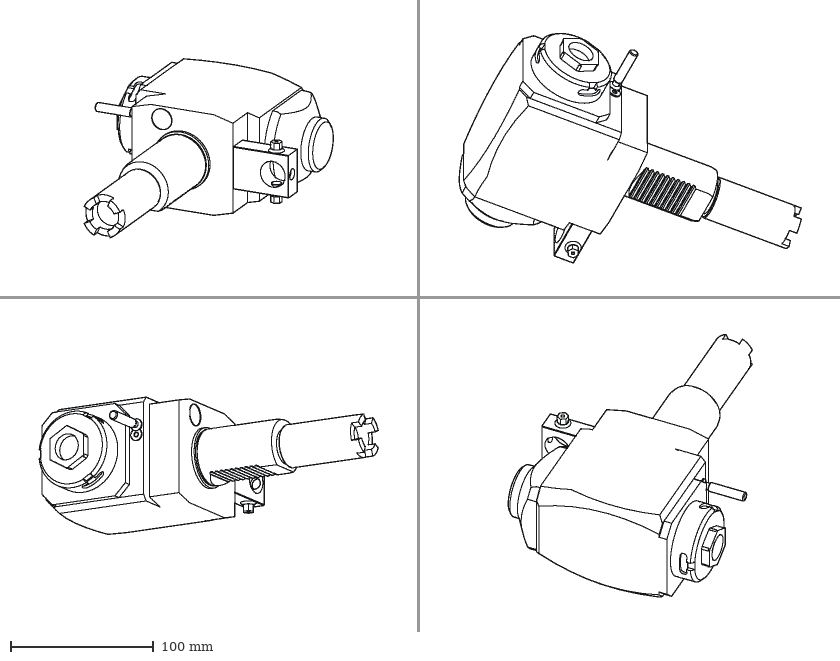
import cadquery as cq
import math


BODY_BACK = 102.6
BODY_FRONT = 23.8
BODY_LEFT = -47.3
BODY_RIGHT = 48.3
BODY_HALF_HEIGHT = 37.5
LEFT_CHAMFER_X = 3.5
LEFT_CHAMFER_Z = 4.2
TAPER_START = 24.3
TAPER_SLOPE = math.tan(math.radians(15))
BACK_CONE_X = -9.3
BACK_CONE_Z = 100.3
BACK_CONE_RADIUS = 133.5
BACK_CORNER_X = 3.3
BACK_CORNER_Y = 3.0
BLOCK_HALF_WIDTH = 39.2
PLUG_X = -16.0
PLUG_Z = 27.8
PLUG_RADIUS = 7.7
PLUG_DEPTH = 0.7

SPINDLE_Y = 68.8
PLATE_LEFT = -53.2
PLATE_FRONT = 35.2
PLATE_HALF_HEIGHT = BODY_HALF_HEIGHT - LEFT_CHAMFER_Z
PLATE_CHAMFER = 8.5
NUT_LEFT = -70.7
NUT_RADIUS = 27.5
NUT_CHAMFER = 2.3
NUT_SLOT_ANGLES = (30, 150, 270)
NUT_SLOT_X = -62.7
NUT_SLOT_WIDTH = 5.4
NUT_SLOT_LENGTH = 18.7
NUT_SLOT_DEPTH = 1.9
NUT_NOTCH_WIDTH = 6.8
NUT_NOTCH_DEPTH = 2.8
HEX_LEFT = -77.0
HEX_FLATS = 26.8
HEX_TURNED_START = -75.8
HEX_TURNED_RADIUS = 15.0
HEX_BORE_RADIUS = 9.3
HEX_BORE_DEPTH = 6.5

COVER_RADIUS = 37.3
COVER_CONE_START = 55.3
COVER_CONE_END = 68.0
COVER_RIGHT = 76.3
COVER_CAP_RADIUS = 19.1
COVER_CAP_CHAMFER = 2.3
COVER_FLAT_HEIGHT = 29.2
COVER_FLAT_END = 51.5
COVER_BACK = 99.1

COLLAR_RADIUS = 21.5
COLLAR_END = -2.0
UNDERCUT_RADIUS = 19.5
UNDERCUT_END = -3.5
SHANK_RADIUS = 40.4 / 2
SHANK_CHAMFER_START = -59.7
SHANK_END = -63.5
SHANK_END_RADIUS = 19.4
NECK_RADIUS = 12.4
NECK_END = -66.7
TAIL_RADIUS = 30.5 / 2
TAIL_CHAMFER = 0.7
TIP_END = -130.6
SLOT_FLOOR = -125.0
TIP_BORE_RADIUS = 10.3
TIP_BORE_DEPTH = 14.0
TIP_SLOT_ANGLE = 49
RACK_FLAT_Z = -15.6
RACK_FLAT_START = -10.5
RACK_GAPS = 10
RACK_FIRST = -11.7
RACK_LAST = -47.8
RACK_PITCH = (RACK_FIRST - RACK_LAST) / (RACK_GAPS - 1)
RACK_DEPTH = 1.28
RACK_ROOT_WIDTH = 1.2

BRACKET_RIGHT = 81.9
BRACKET_FRONT = 0.7
BRACKET_BACK = 16.0
BRACKET_HALF_HEIGHT = 15.9
BRACKET_CHAMFER = 0.5
BRACKET_HOLE_X = 69.7
BRACKET_HOLE_RADIUS = 9.5
BRACKET_SIDE_HOLE_RADIUS = 4.0
SCREW_Y = 6.8
SCREW_BASE_RADIUS = 5.5
SCREW_BASE_HEIGHT = 1.6
SCREW_HEIGHT = 6.5
SCREW_FLATS = 7.0
SCREW_SOCKET_RADIUS = 1.2
SCREW_SOCKET_DEPTH = 1.9
SCREW_TIP_RADIUS = 3.5
SCREW_TIP_Z = 8.5

PIN_Y = 29.5
PIN_Z = 17.3
PIN_LEFT = -80.5
PIN_RADIUS = 3.3
PIN_CHAMFER = 0.7
PIN_NECK_START = -53.5
PIN_NECK_END = -49.7
PIN_NECK_RADIUS = 5.0 / 2
PIN_BASE_RADIUS = 8.6 / 2
PIN_BASE_THICKNESS = 1.0
SMALL_PLUG_Z = 10.3
SMALL_PLUG_BORE_RADIUS = 1.6

OVERLAP = 2.3


def turned_x(profile, y, z):
    """Solid turned about the X-parallel axis at (y, z); profile is (x, radius) pairs."""
    points = [(profile[0][0], 0)] + profile + [(profile[-1][0], 0)]
    solid = cq.Workplane("XY").polyline(points).close().revolve(360, (0, 0, 0), (1, 0, 0))
    return solid.translate((0, y, z))


def rod_x(x_start, x_end, radius, y, z):
    """Cylinder along +X from x_start to x_end."""
    return turned_x([(x_start, radius), (x_end, radius)], y, z)


def turned_y(profile):
    """Solid turned about the Y axis; profile is (radius, y) pairs."""
    points = [(0, profile[0][1])] + profile + [(0, profile[-1][1])]
    return cq.Workplane("XY").polyline(points).close().revolve(360, (0, 0, 0), (0, 1, 0))


def cylinder_y(x, z, radius, y_start, y_end):
    """Cylinder along +Y from y_start to y_end."""
    disc = cq.Workplane("XZ", origin=(x, y_start, z)).circle(radius)
    return disc.extrude(y_start - y_end)


def mirrored_prism(upper_points, y_start, y_end):
    """Prism along Y; its XZ outline is upper_points plus their mirror image below Z = 0."""
    lower_points = [(x, -z) for x, z in reversed(upper_points)]
    outline = cq.Workplane("XZ", origin=(0, y_start, 0)).polyline(upper_points + lower_points)
    return outline.close().extrude(y_start - y_end)


def taper_height(x):
    """Height of the slanted top face right of TAPER_START."""
    return BODY_HALF_HEIGHT - (x - TAPER_START) * TAPER_SLOPE


def body():
    housing = mirrored_prism(
        [
            (BODY_LEFT, BODY_HALF_HEIGHT - LEFT_CHAMFER_Z),
            (BODY_LEFT + LEFT_CHAMFER_X, BODY_HALF_HEIGHT),
            (TAPER_START, BODY_HALF_HEIGHT),
            (BODY_RIGHT, taper_height(BODY_RIGHT)),
        ],
        BODY_FRONT,
        BODY_BACK,
    )
    cone = turned_y([(BACK_CONE_RADIUS, BODY_BACK), (BACK_CONE_RADIUS + BODY_BACK, 0)])
    for side in (1, -1):
        housing = housing.intersect(cone.translate((BACK_CONE_X, 0, -side * BACK_CONE_Z)))
    corner = (
        cq.Workplane("XY", origin=(0, 0, -BODY_HALF_HEIGHT))
        .moveTo(BODY_RIGHT, BODY_BACK)
        .lineTo(BODY_RIGHT - BACK_CORNER_X, BODY_BACK)
        .lineTo(BODY_RIGHT, BODY_BACK - BACK_CORNER_Y)
        .close()
        .extrude(2 * BODY_HALF_HEIGHT)
    )
    block = mirrored_prism(
        [
            (-BLOCK_HALF_WIDTH, taper_height(BLOCK_HALF_WIDTH)),
            (-TAPER_START, BODY_HALF_HEIGHT),
            (TAPER_START, BODY_HALF_HEIGHT),
            (BLOCK_HALF_WIDTH, taper_height(BLOCK_HALF_WIDTH)),
        ],
        0,
        BODY_FRONT + OVERLAP,
    )
    plug_recess = cylinder_y(PLUG_X, PLUG_Z, PLUG_RADIUS, 0, PLUG_DEPTH)
    return housing.cut(corner).union(block).cut(plug_recess)


def face_plate():
    return (
        cq.Workplane("XY")
        .box(
            BODY_LEFT + OVERLAP - PLATE_LEFT,
            BODY_BACK - PLATE_FRONT,
            2 * PLATE_HALF_HEIGHT,
            centered=(False, False, True),
        )
        .edges("|X")
        .chamfer(PLATE_CHAMFER)
        .translate((PLATE_LEFT, PLATE_FRONT, 0))
    )


def clamping_nut():
    nut = turned_x(
        [
            (NUT_LEFT, NUT_RADIUS - NUT_CHAMFER),
            (NUT_LEFT + NUT_CHAMFER, NUT_RADIUS),
            (PLATE_LEFT + OVERLAP, NUT_RADIUS),
        ],
        SPINDLE_Y,
        0,
    )
    slot = cq.Workplane("XY").slot2D(NUT_SLOT_LENGTH, NUT_SLOT_WIDTH, 90)
    slot = slot.extrude(NUT_RADIUS + OVERLAP).translate((NUT_SLOT_X, 0, 0))
    slot_floor = rod_x(NUT_LEFT, PLATE_LEFT, NUT_RADIUS - NUT_SLOT_DEPTH, 0, 0)
    notch = (
        cq.Workplane("XY")
        .box(
            NUT_SLOT_X - NUT_SLOT_WIDTH / 2 - NUT_LEFT,
            NUT_NOTCH_WIDTH,
            NUT_NOTCH_DEPTH + OVERLAP,
            centered=(False, True, False),
        )
        .translate((NUT_LEFT, 0, NUT_RADIUS - NUT_NOTCH_DEPTH))
    )
    pocket = slot.cut(slot_floor).union(notch)
    for angle in NUT_SLOT_ANGLES:
        turned = pocket.rotate((0, 0, 0), (1, 0, 0), angle)
        nut = nut.cut(turned.translate((0, SPINDLE_Y, 0)))
    return nut


def hex_end():
    """Bored hexagon, sharp at its free end and with turned-down corners behind."""
    corner_radius = HEX_FLATS / 2 / math.cos(math.radians(30))
    inner_end = NUT_LEFT + OVERLAP
    hexagon = (
        cq.Workplane("YZ", origin=(HEX_LEFT, SPINDLE_Y, 0))
        .transformed(rotate=(0, 0, 90))
        .polygon(6, 2 * corner_radius)
        .extrude(inner_end - HEX_LEFT)
    )
    envelope = turned_x(
        [
            (HEX_LEFT, corner_radius + OVERLAP),
            (HEX_TURNED_START, corner_radius + OVERLAP),
            (HEX_TURNED_START, HEX_TURNED_RADIUS),
            (inner_end, HEX_TURNED_RADIUS),
        ],
        SPINDLE_Y,
        0,
    )
    bore = rod_x(HEX_LEFT, HEX_LEFT + HEX_BORE_DEPTH, HEX_BORE_RADIUS, SPINDLE_Y, 0)
    return hexagon.intersect(envelope).cut(bore)


def bearing_cover():
    cover = turned_x(
        [
            (BODY_RIGHT - OVERLAP, COVER_RADIUS),
            (COVER_CONE_START, COVER_RADIUS),
            (COVER_CONE_END, COVER_CAP_RADIUS),
            (COVER_RIGHT - COVER_CAP_CHAMFER, COVER_CAP_RADIUS),
            (COVER_RIGHT, COVER_CAP_RADIUS - COVER_CAP_CHAMFER),
        ],
        SPINDLE_Y,
        0,
    )
    right_height = COVER_FLAT_HEIGHT - (COVER_RIGHT - COVER_FLAT_END) * TAPER_SLOPE
    envelope = mirrored_prism(
        [
            (BODY_RIGHT - OVERLAP, COVER_FLAT_HEIGHT),
            (COVER_FLAT_END, COVER_FLAT_HEIGHT),
            (COVER_RIGHT, right_height),
        ],
        SPINDLE_Y - COVER_RADIUS,
        COVER_BACK,
    )
    return cover.intersect(envelope)


def rack_cut():
    """Flat on the underside of the shank with a row of teeth cut into it."""
    ramp = SHANK_RADIUS + OVERLAP + RACK_FLAT_Z
    bottom = RACK_FLAT_Z - ramp
    side = cq.Workplane("YZ", origin=(-SHANK_RADIUS, 0, 0))
    cutter = (
        side.polyline(
            [
                (RACK_FLAT_START, RACK_FLAT_Z),
                (RACK_FLAT_START + ramp, bottom),
                (SHANK_END, bottom),
                (SHANK_END, RACK_FLAT_Z),
            ]
        )
        .close()
        .extrude(2 * SHANK_RADIUS)
    )
    root = RACK_ROOT_WIDTH / 2
    mouth = root + RACK_DEPTH
    for index in range(RACK_GAPS):
        y = RACK_FIRST - index * RACK_PITCH
        gap = (
            side.polyline(
                [
                    (y - mouth, RACK_FLAT_Z),
                    (y - root, RACK_FLAT_Z + RACK_DEPTH),
                    (y + root, RACK_FLAT_Z + RACK_DEPTH),
                    (y + mouth, RACK_FLAT_Z),
                ]
            )
            .close()
            .extrude(2 * SHANK_RADIUS)
        )
        cutter = cutter.union(gap)
    return cutter


def coupling_cut():
    """Bore and four slots with radial sides at the free end of the shank."""
    cutter = cylinder_y(0, 0, TIP_BORE_RADIUS, TIP_END, TIP_END + TIP_BORE_DEPTH)
    reach = 2 * TAIL_RADIUS
    half_width = reach * math.tan(math.radians(TIP_SLOT_ANGLE / 2))
    wedge = (
        cq.Workplane("XZ", origin=(0, TIP_END, 0))
        .polyline([(0, 0), (reach, half_width), (reach, -half_width)])
        .close()
        .extrude(TIP_END - SLOT_FLOOR)
    )
    for quarter in range(4):
        cutter = cutter.union(wedge.rotate((0, 0, 0), (0, 1, 0), 90 * quarter))
    return cutter


def shank():
    bar = turned_y(
        [
            (COLLAR_RADIUS, OVERLAP),
            (COLLAR_RADIUS, COLLAR_END),
            (UNDERCUT_RADIUS, COLLAR_END),
            (UNDERCUT_RADIUS, UNDERCUT_END),
            (SHANK_RADIUS, UNDERCUT_END),
            (SHANK_RADIUS, SHANK_CHAMFER_START),
            (SHANK_END_RADIUS, SHANK_END),
            (NECK_RADIUS, SHANK_END),
            (NECK_RADIUS, NECK_END),
            (TAIL_RADIUS - TAIL_CHAMFER, NECK_END),
            (TAIL_RADIUS, NECK_END - TAIL_CHAMFER),
            (TAIL_RADIUS, TIP_END),
        ]
    )
    return bar.cut(rack_cut()).cut(coupling_cut())


def bracket_screw():
    """Upper bracket screw: tip inside the bracket hole, flared base and hexagonal head on top."""
    head_corners = SCREW_FLATS / math.cos(math.radians(30))
    head_top = BRACKET_HALF_HEIGHT + SCREW_HEIGHT
    tip = cq.Workplane("XY", origin=(0, 0, SCREW_TIP_Z)).circle(SCREW_TIP_RADIUS)
    tip = tip.extrude(BRACKET_HALF_HEIGHT - SCREW_TIP_Z)
    base = (
        cq.Workplane("XY", origin=(0, 0, BRACKET_HALF_HEIGHT))
        .circle(SCREW_BASE_RADIUS)
        .workplane(offset=SCREW_BASE_HEIGHT)
        .circle(SCREW_BASE_RADIUS - SCREW_BASE_HEIGHT)
        .loft()
    )
    head = (
        cq.Workplane("XY", origin=(0, 0, BRACKET_HALF_HEIGHT))
        .transformed(rotate=(0, 0, 90))
        .polygon(6, head_corners)
        .extrude(SCREW_HEIGHT)
    )
    socket = cq.Workplane("XY", origin=(0, 0, head_top)).circle(SCREW_SOCKET_RADIUS)
    screw = tip.union(base).union(head).cut(socket.extrude(-SCREW_SOCKET_DEPTH))
    return screw.translate((BRACKET_HOLE_X, SCREW_Y, 0))


def bracket():
    left = BLOCK_HALF_WIDTH - OVERLAP
    bar = (
        cq.Workplane("XY")
        .box(
            BRACKET_RIGHT - left,
            BRACKET_BACK - BRACKET_FRONT,
            2 * BRACKET_HALF_HEIGHT,
            centered=(False, False, True),
        )
        .edges("|X or (|Z and >X)")
        .chamfer(BRACKET_CHAMFER)
        .translate((left, BRACKET_FRONT, 0))
    )
    hole = cylinder_y(BRACKET_HOLE_X, 0, BRACKET_HOLE_RADIUS, BRACKET_FRONT, BRACKET_BACK)
    side_hole = rod_x(BRACKET_HOLE_X, BRACKET_RIGHT, BRACKET_SIDE_HOLE_RADIUS, SCREW_Y, 0)
    screw = bracket_screw()
    return bar.cut(hole).cut(side_hole).union(screw).union(screw.mirror("XY"))


def coolant_pin():
    return turned_x(
        [
            (PIN_LEFT, PIN_RADIUS - PIN_CHAMFER),
            (PIN_LEFT + PIN_CHAMFER, PIN_RADIUS),
            (PIN_NECK_START, PIN_RADIUS),
            (PIN_NECK_START, PIN_NECK_RADIUS),
            (PIN_NECK_END, PIN_NECK_RADIUS),
            (BODY_LEFT - PIN_BASE_THICKNESS, PIN_BASE_RADIUS),
            (BODY_LEFT + OVERLAP, PIN_BASE_RADIUS),
        ],
        PIN_Y,
        PIN_Z,
    )


def small_plug():
    left = BODY_LEFT - PIN_BASE_THICKNESS
    disc = rod_x(left, BODY_LEFT + OVERLAP, PIN_BASE_RADIUS, PIN_Y, SMALL_PLUG_Z)
    bore = rod_x(left, BODY_LEFT, SMALL_PLUG_BORE_RADIUS, PIN_Y, SMALL_PLUG_Z)
    return disc.cut(bore)


result = body()
for piece in (
    face_plate(),
    clamping_nut(),
    hex_end(),
    bearing_cover(),
    shank(),
    bracket(),
    small_plug(),
    coolant_pin(),
):
    result = result.union(piece)